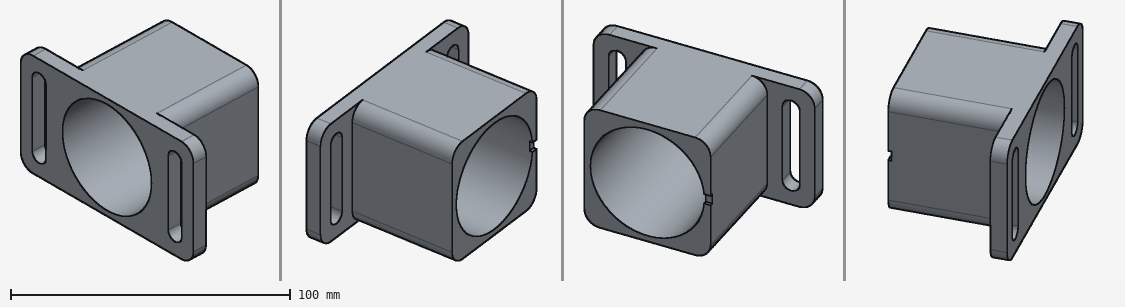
import cadquery as cq

flange_length = 88.9
body_size = 50.8
flange_thickness = 6.3
corner_radius = 6.3

total_depth = 50.8
bore_diameter = 45.8

slot_height = 38.8
slot_width = 6.9
slot_spacing = 69.9

notch_height = 4.0
notch_depth = 1.25


def rounded_block(length, depth):
    """Block from Y = 0 to Y = depth with four rounded edges along Y."""
    return (
        cq.Workplane("XZ")
        .rect(length, body_size)
        .extrude(-depth)
        .edges("|Y")
        .fillet(corner_radius)
    )


def bore():
    return cq.Workplane("XZ").circle(bore_diameter / 2).extrude(-total_depth)


def mounting_slots():
    return (
        cq.Workplane("XZ")
        .pushPoints([(-slot_spacing / 2, 0), (slot_spacing / 2, 0)])
        .slot2D(slot_height, slot_width, 90)
        .extrude(-flange_thickness)
    )


def rear_notch():
    """Notch running from the outer -X face through the wall into the bore."""
    return cq.Workplane("XY").box(
        body_size / 2, notch_depth, notch_height, centered=(False, False, True)
    ).translate((-body_size / 2, total_depth - notch_depth, 0))


flange = rounded_block(flange_length, flange_thickness)
body = rounded_block(body_size, total_depth)
result = flange.union(body).cut(bore()).cut(mounting_slots()).cut(rear_notch())